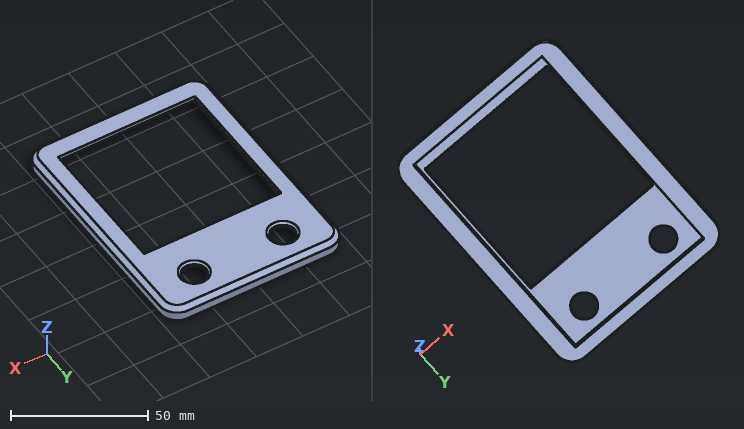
import cadquery as cq

WIDTH = 75.91
LENGTH = 99.98
HEIGHT = 6.0
CORNER_RADIUS = 7.5
EDGE_CHAMFER = 2.0

FACE_THICKNESS = 2.0
SIDE_RIM_WIDTH = 7.0
END_RIM_WIDTH = 5.0

WINDOW_SIZE = 58.8
WINDOW_BOTTOM_MARGIN = 9.6

HOLE_DIAMETER = 10.0
HOLE_CHAMFER = 1.0
HOLE_SPACING = 38.1
HOLE_TOP_MARGIN = 13.9

window_center_y = -LENGTH / 2 + WINDOW_BOTTOM_MARGIN + WINDOW_SIZE / 2
hole_center_y = LENGTH / 2 - HOLE_TOP_MARGIN
recess_depth = HEIGHT - FACE_THICKNESS


def make_body():
    """Rounded rectangular plate with a chamfer around its top edge."""
    plate = cq.Workplane("XY").rect(WIDTH, LENGTH).extrude(HEIGHT)
    plate = plate.edges("|Z").fillet(CORNER_RADIUS)
    return plate.faces(">Z").chamfer(EDGE_CHAMFER)


def make_recess():
    """Rectangular pocket, open at the bottom, bounded by the rim."""
    return (
        cq.Workplane("XY")
        .rect(WIDTH - 2 * SIDE_RIM_WIDTH, LENGTH - 2 * END_RIM_WIDTH)
        .extrude(recess_depth)
    )


def make_window():
    """Square opening through the full height."""
    return (
        cq.Workplane("XY")
        .center(0, window_center_y)
        .rect(WINDOW_SIZE, WINDOW_SIZE)
        .extrude(HEIGHT)
    )


def make_hole(center_x):
    """Through hole widened by a chamfer at the top face."""
    radius = HOLE_DIAMETER / 2
    bore = cq.Workplane("XY").circle(radius).extrude(HEIGHT)
    cone = (
        cq.Workplane("XY")
        .workplane(offset=HEIGHT)
        .circle(radius + HOLE_CHAMFER)
        .workplane(offset=-HOLE_CHAMFER)
        .circle(radius)
        .loft(ruled=True)
    )
    return bore.union(cone).translate((center_x, hole_center_y, 0))


result = make_body().cut(make_recess()).cut(make_window())
for side in (-1, 1):
    result = result.cut(make_hole(side * HOLE_SPACING / 2))